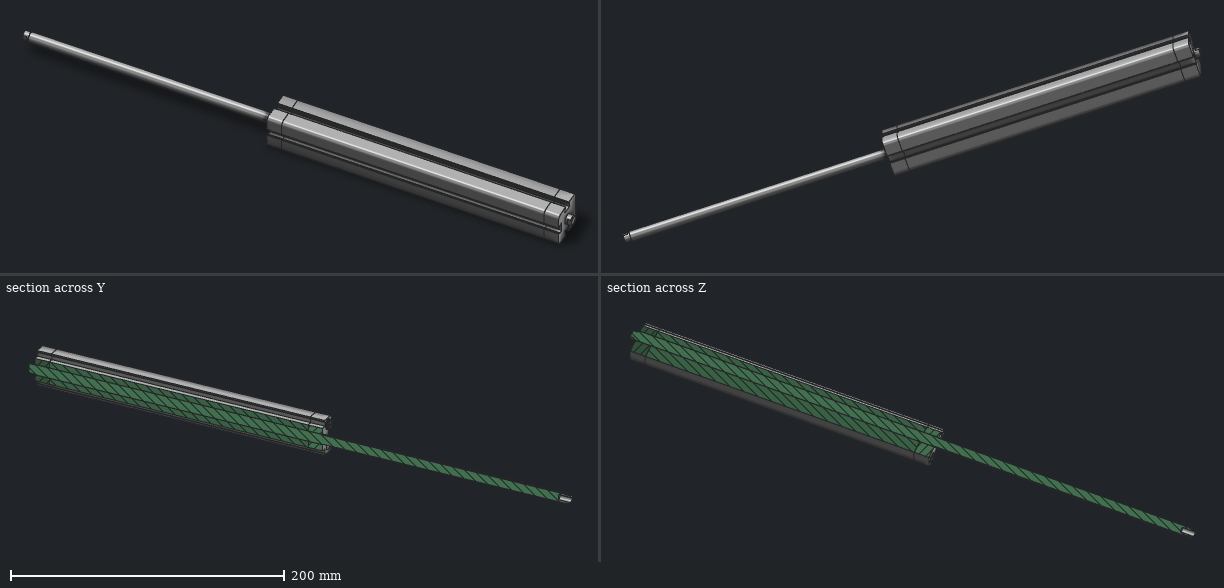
import cadquery as cq
body_side = 29.0
body_length = 237.5
cap_length = 12.0
edge_radius = 3.5

slot_width = 5.8
slot_depth = 5.0
lip_thickness = 1.5
undercut_width = 7.2

rod_diameter = 8.0
rod_front_reach = 204.5
rod_rear_reach = 5.0
rod_end_collar = 5.0
collar_diameter = 7.2
flat_across = 6.0
front_flat_length = 3.5
rear_flat_length = 3.5
rear_chamfer = 0.75
rod_hole_diameter = 3.8
rod_hole_depth = 10.0

hole_offset = 8.75
screw_recess_diameter = 6.5
screw_recess_depth = 4.0
screw_hole_diameter = 3.0
needle_recess_diameter = 8.0
needle_recess_depth = 1.0
needle_seat_diameter = 6.0
needle_seat_depth = 2.0
driver_slot_width = 2.5
driver_slot_length = 5.0
driver_slot_depth = 1.0

half_side = body_side / 2
rear_cap_start = body_length - cap_length
rod_tip = -rod_front_reach
rod_tail = body_length + rod_rear_reach


def rod_cylinder(start, end, diameter):
    """A cylinder on the rod axis from X = start to X = end."""
    return cq.Workplane("YZ").workplane(offset=start).circle(diameter / 2).extrude(end - start)


def cut_slots(block, length, width, top, bottom):
    """Cut a lengthwise channel into the +Z, -Z and -Y sides, between two depths below the side."""
    depth = bottom - top
    distance = half_side - (top + bottom) / 2
    channel = cq.Workplane("XY").box(length, width, depth).translate((0, 0, distance))
    for angle in (0, 90, 180):
        block = block.cut(channel.rotate((0, 0, 0), (1, 0, 0), angle))
    return block


def profile(start, end):
    """A length of the square section with T-shaped slots, bored for the rod."""
    length = end - start
    block = cq.Workplane("XY").box(length, body_side, body_side).edges("|X").fillet(edge_radius)
    block = cut_slots(block, length, slot_width, 0, slot_depth)
    block = cut_slots(block, length, undercut_width, lip_thickness, slot_depth)
    block = block.translate(((start + end) / 2, 0, 0))
    return block.cut(rod_cylinder(start, end, rod_diameter))


def round_recess(centres, diameter, depth):
    """Cylinders to cut into the front cap face, running in +X from the given (y, z) centres."""
    return cq.Workplane("YZ").pushPoints(centres).circle(diameter / 2).extrude(depth)


def make_front_cap():
    """The front cap, with counterbored screw holes and slotted needle recesses on opposite corners."""
    cap = profile(0, cap_length)
    screws = [(hole_offset, hole_offset), (-hole_offset, -hole_offset)]
    needles = [(-hole_offset, hole_offset), (hole_offset, -hole_offset)]
    cap = cap.cut(round_recess(screws, screw_recess_diameter, screw_recess_depth))
    cap = cap.cut(round_recess(screws, screw_hole_diameter, cap_length))
    cap = cap.cut(round_recess(needles, needle_recess_diameter, needle_recess_depth))
    cap = cap.cut(round_recess(needles, needle_seat_diameter, needle_seat_depth))
    driver_slots = cq.Workplane("YZ").workplane(offset=needle_seat_depth).pushPoints(needles)
    return cap.cut(driver_slots.rect(driver_slot_length, driver_slot_width).extrude(driver_slot_depth))


def flats(start, length):
    """Two blocks which cut parallel flats on the -Y and +Y sides of the rod."""
    thickness = rod_diameter
    block = cq.Workplane("XY").box(length, thickness, 2 * rod_diameter)
    block = block.translate((start + length / 2, (flat_across + thickness) / 2, 0))
    return block.union(block.mirror("XZ"))


def make_rod():
    """The through rod, with a bored, flatted front end and a chamfered, flatted tail."""
    collar_end = rod_tip + rod_end_collar
    rod = rod_cylinder(collar_end, rod_tail, rod_diameter).faces(">X").chamfer(rear_chamfer)
    rod = rod.union(rod_cylinder(rod_tip, collar_end, collar_diameter))
    rod = rod.cut(flats(rod_tip, front_flat_length))
    rod = rod.cut(rod_cylinder(rod_tip, rod_tip + rod_hole_depth, rod_hole_diameter))
    return rod.cut(flats(rod_tail - rear_flat_length, rear_flat_length))


front_cap = make_front_cap()
tube = profile(cap_length, rear_cap_start)
rear_cap = profile(rear_cap_start, body_length)
rod = make_rod()

result = cq.Compound.makeCompound([front_cap.val(), tube.val(), rear_cap.val(), rod.val()])